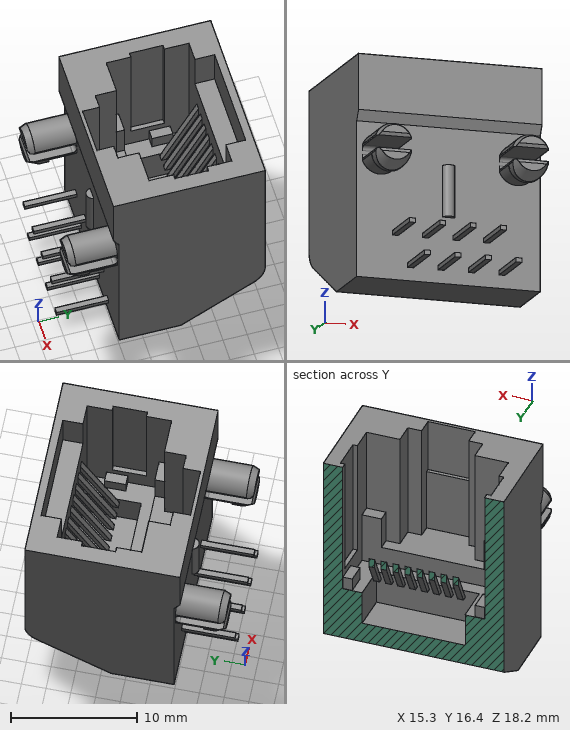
import cadquery as cq
import math


WIDTH = 15.33
HEIGHT = 18.16
BACK_Y = 12.08
LIP_DEPTH = 0.47
LIP_BOTTOM_Z = 13.57
LIP_SLOPE = math.radians(60)
BACK_SLOPE = math.radians(30)
BACK_SLOPE_START_Y = 5.1
BACK_EDGE_RADIUS = 2.0

PLUG_HALF_WIDTH = 6.01
PLUG_BACK_Y = 9.79
PLUG_FRONT_Y = 2.96
PLUG_FLOOR_Z = 6.54
SHELF_Y = 3.98
SHELF_Z = 10.9
GROOVE_FRONT_Y = 5.0
GROOVE_BACK_Y = 7.75
GROOVE_DEPTH = 0.38
GROOVE_FLOOR_Z = 8.17
STOP_FRONT_Y = 6.5
STOP_BACK_Y = 8.23
STOP_WIDTH = 0.8
STOP_HEIGHT = 1.09

LATCH_HALF_WIDTH = 3.18
LATCH_FRONT_Y = 1.22
LATCH_FLOOR_Z = 8.17
TAB_HALF_WIDTH = 2.0
TAB_FRONT_Y = 0.13
TAB_LIP_Y = -0.18

WELL_HALF_WIDTH = 4.35
WELL_FRONT_Y = 5.08
WELL_FLOOR_Z = 3.63
RECESS_BACK_Y = 11.42
RECESS_DEPTH = 3.27

STRIP_WIDTH = 0.49

CONTACT_COUNT = 8
CONTACT_PITCH = 1.02
CONTACT_TOP_Z = 12.9
CONTACT_END_Y = 6.72
CONTACT_SLOPE = math.radians(62)
CONTACT_THICKNESS = 0.38

PIN_THICKNESS = 0.36
PIN_LENGTH = 4.3
PIN_PITCH = 1.27
PINS_PER_ROW = 4
ROW_PITCH = 2 * PIN_PITCH
LOWER_ROW_Z = 1.27
ROW_SPACING = 2 * PIN_PITCH

POST_X = 5.72
POST_Z = 10.19
POST_RADIUS = 1.58
POST_HALF_SHIFT = 0.07
POST_HALF_WIDTH = 1.47
POST_LENGTH = 4.0
POST_TIP_LENGTH = 0.56
POST_TIP_INSET = 0.24
SLOT_WIDTH = 1.02
SLOT_ROOT_RADIUS = 0.35
SLOT_MOUTH_FLARE = 0.27
SLOT_MOUTH_ANGLE = math.radians(30)
SLOT_MOUTH_DEPTH = SLOT_MOUTH_FLARE * math.tan(SLOT_MOUTH_ANGLE)
BARB_START = 2.27

RIB_RADIUS = 0.5
RIB_BOTTOM_Z = 5.45
RIB_TOP_Z = 9.66

EMBED = 0.18


def block(x0, x1, y0, y1, z0, z1):
    """Box between two opposite corners."""
    return cq.Workplane("XY").box(x1 - x0, y1 - y0, z1 - z0, centered=False).translate((x0, y0, z0))


def centred_block(half_width, y0, y1, z0, z1):
    """Box symmetric about X = 0."""
    return block(-half_width, half_width, y0, y1, z0, z1)


def side_prism(points, width):
    """Extrude a (Y, Z) outline symmetrically along X."""
    return cq.Workplane("YZ").polyline(points).close().extrude(width / 2, both=True)


def make_housing():
    """Solid block with a lip at the top and a sloping, rounded lower back."""
    back_corner_z = (BACK_Y - BACK_SLOPE_START_Y) * math.tan(BACK_SLOPE)
    lip_end_z = LIP_BOTTOM_Z - LIP_DEPTH * math.tan(LIP_SLOPE)
    outline = [
        (0, 0),
        (BACK_SLOPE_START_Y, 0),
        (BACK_Y, back_corner_z),
        (BACK_Y, HEIGHT),
        (-LIP_DEPTH, HEIGHT),
        (-LIP_DEPTH, LIP_BOTTOM_Z),
        (0, lip_end_z),
    ]
    back_edge = cq.selectors.NearestToPointSelector((0, BACK_Y, back_corner_z))
    return side_prism(outline, WIDTH).edges(back_edge).fillet(BACK_EDGE_RADIUS)


def make_latch_channel():
    """Stepped channel for the plug latch; its front wall steps out behind the lip."""
    wide = centred_block(WELL_HALF_WIDTH, PLUG_FRONT_Y, SHELF_Y, LATCH_FLOOR_Z, HEIGHT)
    middle = centred_block(LATCH_HALF_WIDTH, LATCH_FRONT_Y, SHELF_Y, LATCH_FLOOR_Z, HEIGHT)
    tab_outline = [
        (SHELF_Y, LATCH_FLOOR_Z),
        (SHELF_Y, HEIGHT),
        (TAB_LIP_Y, HEIGHT),
        (TAB_LIP_Y, LIP_BOTTOM_Z),
        (TAB_FRONT_Y, LIP_BOTTOM_Z),
        (TAB_FRONT_Y, LATCH_FLOOR_Z),
    ]
    return wide.union(middle).union(side_prism(tab_outline, 2 * TAB_HALF_WIDTH))


def make_opening():
    """Everything removed from the housing; the two plug stops are left standing on the floor."""
    plug = centred_block(PLUG_HALF_WIDTH, SHELF_Y, PLUG_BACK_Y, PLUG_FLOOR_Z, HEIGHT)
    shelf = centred_block(PLUG_HALF_WIDTH, PLUG_FRONT_Y, SHELF_Y, SHELF_Z, HEIGHT)
    grooves = centred_block(
        PLUG_HALF_WIDTH + GROOVE_DEPTH, GROOVE_FRONT_Y, GROOVE_BACK_Y, GROOVE_FLOOR_Z, HEIGHT
    )
    well = centred_block(WELL_HALF_WIDTH, WELL_FRONT_Y, PLUG_BACK_Y, WELL_FLOOR_Z, HEIGHT)
    recess = centred_block(
        WELL_HALF_WIDTH, PLUG_BACK_Y, RECESS_BACK_Y, HEIGHT - RECESS_DEPTH, HEIGHT
    )
    opening = plug.union(shelf).union(grooves).union(well).union(recess).union(make_latch_channel())
    for side in (-1, 1):
        inner_x = side * (PLUG_HALF_WIDTH - STOP_WIDTH)
        outer_x = side * PLUG_HALF_WIDTH
        stop = block(
            min(inner_x, outer_x), max(inner_x, outer_x), STOP_FRONT_Y, STOP_BACK_Y,
            PLUG_FLOOR_Z, PLUG_FLOOR_Z + STOP_HEIGHT,
        )
        opening = opening.cut(stop)
    return opening


def make_contact(x):
    """Flat spring leaning away from the back wall of the well."""
    rise = math.tan(CONTACT_SLOPE)
    end_z = CONTACT_TOP_Z - (PLUG_BACK_Y - CONTACT_END_Y) * rise
    drop = CONTACT_THICKNESS / math.cos(CONTACT_SLOPE)
    wall_y = PLUG_BACK_Y + EMBED
    wall_z = CONTACT_TOP_Z + EMBED * rise
    outline = [
        (wall_y, wall_z),
        (CONTACT_END_Y, end_z),
        (CONTACT_END_Y + CONTACT_THICKNESS / math.sin(CONTACT_SLOPE), end_z),
        (wall_y, wall_z - drop),
    ]
    return side_prism(outline, STRIP_WIDTH).translate((x, 0, 0))


def make_pin(x, z):
    half_width = STRIP_WIDTH / 2
    half_thickness = PIN_THICKNESS / 2
    return block(
        x - half_width, x + half_width, -PIN_LENGTH, EMBED, z - half_thickness, z + half_thickness
    )


def revolve_about_y(profile):
    """Revolve a (radius, Y) profile about the Y axis."""
    return cq.Workplane("XY").polyline(profile).close().revolve(360, (0, 0, 0), (0, 1, 0))


def cylinder_along_y(radius, z, y0, y1):
    """Cylinder between two Y positions, with its axis at X = 0 and height z."""
    return cq.Workplane("XZ", origin=(0, y1, z)).circle(radius).extrude(y1 - y0)


def make_post_half(side):
    """Upper (side = 1) or lower (side = -1) half of a snap post, before it is slotted."""
    shift = side * POST_HALF_SHIFT
    half = cylinder_along_y(POST_RADIUS, shift, -POST_LENGTH, EMBED)
    if side < 0:
        barb = cylinder_along_y(POST_HALF_WIDTH, -SLOT_WIDTH / 2, -POST_LENGTH, -BARB_START)
        half = half.union(barb)
    tip_radius = POST_RADIUS - POST_TIP_INSET
    cone_rise = (POST_LENGTH + EMBED) * POST_TIP_INSET / POST_TIP_LENGTH
    tip_cone = revolve_about_y([
        (0, EMBED),
        (tip_radius + cone_rise, EMBED),
        (tip_radius, -POST_LENGTH),
        (0, -POST_LENGTH),
    ]).translate((0, 0, shift))
    reach = side * 2 * POST_RADIUS
    bounds = centred_block(POST_HALF_WIDTH, -POST_LENGTH, EMBED, min(0, reach), max(0, reach))
    return half.intersect(tip_cone).intersect(bounds)


def make_post():
    """Split snap post along -Y, centred on the Y axis, with a barb on its lower half."""
    half_slot = SLOT_WIDTH / 2
    slot = centred_block(POST_RADIUS, -POST_LENGTH, 0, -half_slot, half_slot)
    slot = slot.edges("|X and >Y").fillet(SLOT_ROOT_RADIUS)
    mouth = side_prism([
        (-POST_LENGTH, -half_slot - SLOT_MOUTH_FLARE),
        (-POST_LENGTH + SLOT_MOUTH_DEPTH, -half_slot),
        (-POST_LENGTH + SLOT_MOUTH_DEPTH, half_slot),
        (-POST_LENGTH, half_slot + SLOT_MOUTH_FLARE),
    ], 2 * POST_RADIUS)
    return make_post_half(1).union(make_post_half(-1)).cut(slot).cut(mouth)


def make_rib():
    """Upright rounded rib, level with the lip."""
    return (
        cq.Workplane("XY", origin=(0, RIB_RADIUS - LIP_DEPTH, RIB_BOTTOM_Z))
        .circle(RIB_RADIUS)
        .extrude(RIB_TOP_Z - RIB_BOTTOM_Z)
        .intersect(centred_block(RIB_RADIUS, -LIP_DEPTH, TAB_FRONT_Y, RIB_BOTTOM_Z, RIB_TOP_Z))
    )


result = make_housing().cut(make_opening()).union(make_rib())

for i in range(CONTACT_COUNT):
    result = result.union(make_contact((i - (CONTACT_COUNT - 1) / 2) * CONTACT_PITCH))

for i in range(PINS_PER_ROW):
    centre_x = (i - (PINS_PER_ROW - 1) / 2) * ROW_PITCH
    result = result.union(make_pin(centre_x + PIN_PITCH / 2, LOWER_ROW_Z))
    result = result.union(make_pin(centre_x - PIN_PITCH / 2, LOWER_ROW_Z + ROW_SPACING))

for x in (-POST_X, POST_X):
    result = result.union(make_post().translate((x, 0, POST_Z)))